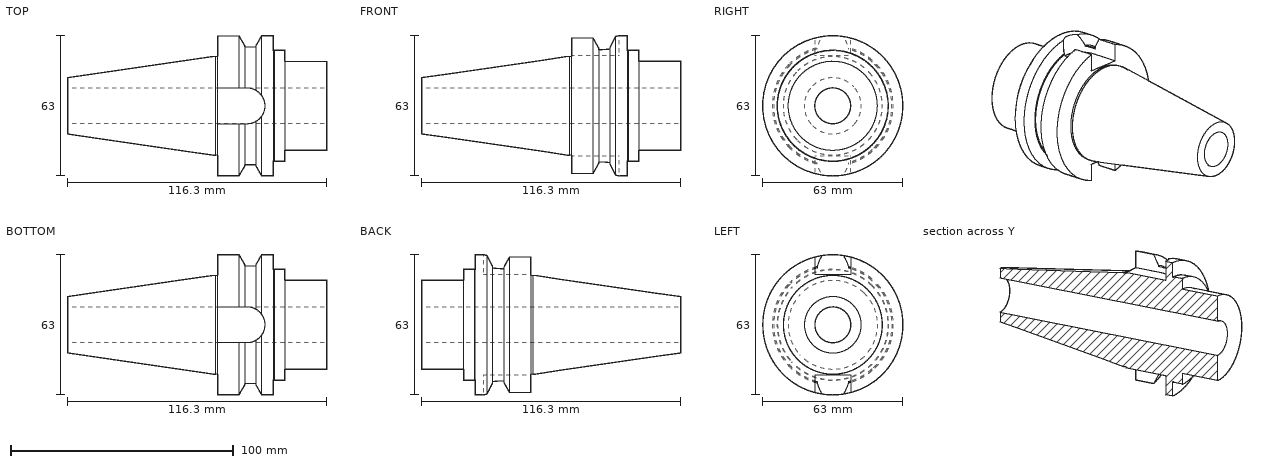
import cadquery as cq
import math


gauge_diameter = 44.45
taper_ratio = 7 / 24
shank_length = 65.3
gauge_land_length = 1.0
neck_diameter = 44.3

flange_diameter = 63.0
flange_start = 2.0
flange_end = 27.0
groove_center = 16.65
groove_mouth_width = 10.1
groove_floor_width = 5.0
groove_floor_diameter = 53.0
groove_wall_angle = math.radians(60)

back_neck_diameter = 49.5
back_neck_length = 0.4
collar_diameter = 50.0
collar_end = 32.2
nose_diameter = 40.0
nose_end = 51.0

bore_diameter = 16.0
slot_width = 16.1
slot_floor_height = 22.6
slot_end = 23.2


def make_revolved_body():
    """Revolve the half section of shank, flange, collar and nose about X."""
    tip_radius = (gauge_diameter - taper_ratio * shank_length) / 2
    mouth_start = groove_center - groove_mouth_width / 2
    mouth_end = groove_center + groove_mouth_width / 2
    floor_start = groove_center - groove_floor_width / 2
    floor_end = groove_center + groove_floor_width / 2
    flange_radius = flange_diameter / 2
    groove_floor_radius = groove_floor_diameter / 2
    wall_depth = (floor_start - mouth_start) * math.tan(groove_wall_angle)
    wall_foot_radius = flange_radius - wall_depth
    back_neck_end = flange_end + back_neck_length
    section = [
        (-shank_length, 0),
        (-shank_length, tip_radius),
        (0, gauge_diameter / 2),
        (gauge_land_length, gauge_diameter / 2),
        (gauge_land_length, neck_diameter / 2),
        (flange_start, neck_diameter / 2),
        (flange_start, flange_radius),
        (mouth_start, flange_radius),
        (floor_start, wall_foot_radius),
        (floor_start, groove_floor_radius),
        (floor_end, groove_floor_radius),
        (floor_end, wall_foot_radius),
        (mouth_end, flange_radius),
        (flange_end, flange_radius),
        (flange_end, back_neck_diameter / 2),
        (back_neck_end, back_neck_diameter / 2),
        (back_neck_end, collar_diameter / 2),
        (collar_end, collar_diameter / 2),
        (collar_end, nose_diameter / 2),
        (nose_end, nose_diameter / 2),
        (nose_end, 0),
    ]
    return cq.Workplane("XY").polyline(section).close().revolve(360, (0, 0, 0), (1, 0, 0))


def make_bore():
    """Cylinder for the bore through the full length."""
    total_length = shank_length + nose_end
    start = cq.Workplane("YZ", origin=(-shank_length, 0, 0))
    return start.circle(bore_diameter / 2).extrude(total_length)


def make_drive_slot():
    """Cutter for the +Z slot: open at the flange face, rounded at its inner end."""
    half_width = slot_width / 2
    arc_center = slot_end - half_width
    slot_depth = flange_diameter / 2 - slot_floor_height
    return (
        cq.Workplane("XY", origin=(0, 0, slot_floor_height))
        .moveTo(0, -half_width)
        .lineTo(arc_center, -half_width)
        .threePointArc((slot_end, 0), (arc_center, half_width))
        .lineTo(0, half_width)
        .close()
        .extrude(slot_depth)
    )


result = make_revolved_body().cut(make_bore())
for slot_angle in (0, 180):
    result = result.cut(make_drive_slot().rotate((0, 0, 0), (1, 0, 0), slot_angle))